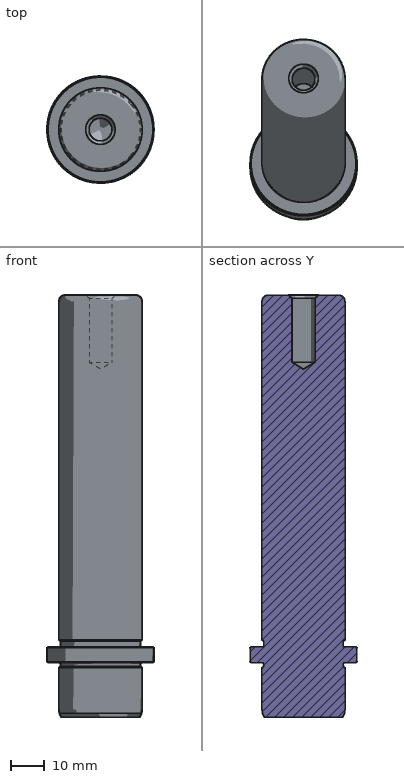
import cadquery as cq
import math

total_length = 126.0
shaft_radius = 12.5
tip_fillet = 2.0

flange_radius = 16.0
flange_bottom = 16.3
flange_top = 21.0
flange_chamfer = 0.4

relief_radius = 12.0
upper_relief_width = 2.0
lower_relief_width = 1.0
lower_relief_taper = 0.5
upper_relief_taper = 0.4
lower_relief_fillet = 0.5

lead_in_height = 2.3
lead_in_radius = 12.3
end_chamfer_height = 1.1
end_face_radius = 11.7

hole_radius = 3.4
hole_depth = 20.0
countersink_radius = 4.4
countersink_depth = countersink_radius - hole_radius
drill_point_angle = 118.0
drill_point_depth = hole_radius / math.tan(math.radians(drill_point_angle / 2))


def make_pillar():
    """Revolve the half profile of the shaft, flange and seat."""
    upper_relief_top = flange_top + upper_relief_width
    lower_relief_bottom = flange_bottom - lower_relief_width
    profile = (
        cq.Workplane("XZ")
        .lineTo(end_face_radius, 0)
        .lineTo(lead_in_radius, end_chamfer_height)
        .lineTo(shaft_radius, lead_in_height)
        .lineTo(shaft_radius, lower_relief_bottom - lower_relief_taper)
        .lineTo(relief_radius, lower_relief_bottom)
        .lineTo(relief_radius, flange_bottom - lower_relief_fillet)
        .radiusArc((relief_radius + lower_relief_fillet, flange_bottom), lower_relief_fillet)
        .lineTo(flange_radius - flange_chamfer, flange_bottom)
        .lineTo(flange_radius, flange_bottom + flange_chamfer)
        .lineTo(flange_radius, flange_top - flange_chamfer)
        .lineTo(flange_radius - flange_chamfer, flange_top)
        .lineTo(relief_radius, flange_top)
        .lineTo(relief_radius, upper_relief_top - upper_relief_taper)
        .lineTo(shaft_radius, upper_relief_top)
        .lineTo(shaft_radius, total_length)
        .lineTo(0, total_length)
        .close()
    )
    pillar = profile.revolve(360, (0, 0, 0), (0, 1, 0))
    return pillar.faces(">Z").edges().fillet(tip_fillet)


def make_hole():
    """Revolve the countersunk hole with its conical drill point."""
    hole_bottom = total_length - hole_depth
    profile = (
        cq.Workplane("XZ")
        .moveTo(0, total_length)
        .lineTo(countersink_radius, total_length)
        .lineTo(hole_radius, total_length - countersink_depth)
        .lineTo(hole_radius, hole_bottom)
        .lineTo(0, hole_bottom - drill_point_depth)
        .close()
    )
    return profile.revolve(360, (0, 0, 0), (0, 1, 0))


result = make_pillar().cut(make_hole())